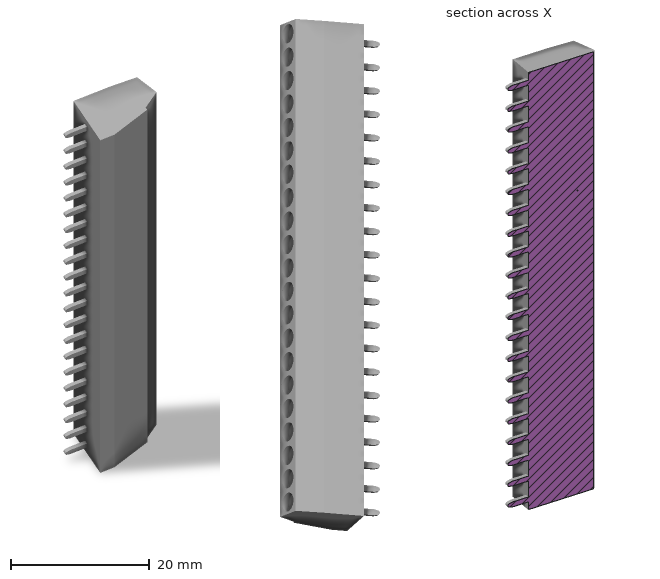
import cadquery as cq
import math

pole_count = 21
pole_pitch = 3.5
body_width = 8.4
body_depth = 11.4

shoulder_x = 0.2
shoulder_y = 10.2
draft_start_y = 6.0
peak_x = 4.0
notch_x = 5.95
notch_y = 8.6
lip_x = 6.35
lip_y = 8.7
cheek_y = 2.3

opening_diameter = 2.8
opening_depth = 1.0

pin_x = 3.95
pin_width = 0.6
pin_height = 0.9
pin_length = 3.5
pin_taper_length = 0.6
pin_taper = 0.15
pin_nose_length = 0.2
pin_overlap = 0.5

body_height = pole_count * pole_pitch
pole_heights = [(i + 0.5) * pole_pitch for i in range(pole_count)]


def make_housing():
    """Prism along Z: board face at Y = 0, rear side at X = 0."""
    outline = [
        (0, 0),
        (body_width, 0),
        (body_width, cheek_y),
        (lip_x, lip_y),
        (notch_x, notch_y),
        (peak_x, body_depth),
        (shoulder_x, shoulder_y),
        (0, draft_start_y),
    ]
    return cq.Workplane("XY").polyline(outline).close().extrude(body_height)


def make_opening(z):
    """Blind round hole, square to the sloping face and centred on its width."""
    slope = math.atan2(body_depth - shoulder_y, peak_x - shoulder_x)
    inward = cq.Vector(math.sin(slope), -math.cos(slope), 0)
    mouth = cq.Vector((shoulder_x + peak_x) / 2, (shoulder_y + body_depth) / 2, z)
    return cq.Solid.makeCylinder(opening_diameter / 2, opening_depth, mouth, inward)


def make_pin(z):
    """Flat pin along -Y, rooted in the housing, tapering in Z to a rounded nose."""
    half_height = pin_height / 2
    nose_half_height = half_height - pin_taper
    nose_start = pin_nose_length - pin_length
    taper_start = nose_start + pin_taper_length
    side = (
        cq.Workplane("YZ", origin=(pin_x, 0, 0))
        .moveTo(pin_overlap, z - half_height)
        .lineTo(taper_start, z - half_height)
        .lineTo(nose_start, z - nose_half_height)
        .threePointArc((-pin_length, z), (nose_start, z + nose_half_height))
        .lineTo(taper_start, z + half_height)
        .lineTo(pin_overlap, z + half_height)
        .close()
    )
    return side.extrude(pin_width / 2, both=True)


result = make_housing()
for pole_z in pole_heights:
    result = result.cut(cq.Workplane(make_opening(pole_z)))
    result = result.union(make_pin(pole_z))